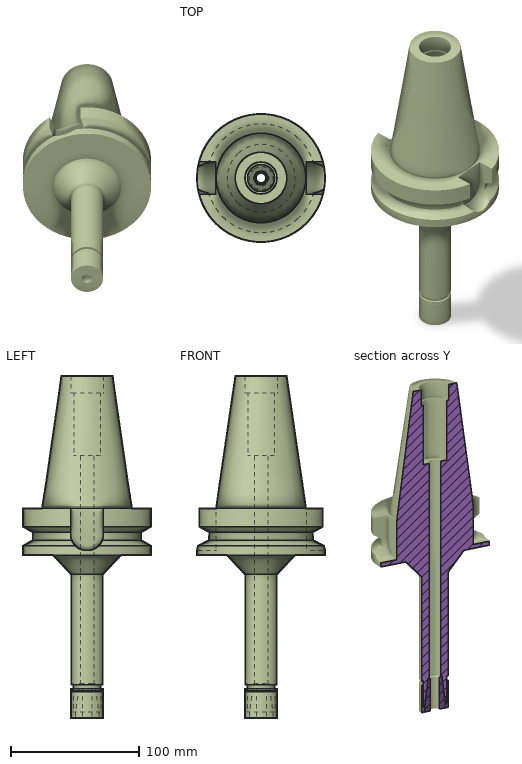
import cadquery as cq
import math


GAUGE_RADIUS = 69.85 / 2
TAPER_LENGTH = 101.8
TAPER_PER_LENGTH = 7 / 24
SHANK_END_RADIUS = GAUGE_RADIUS - TAPER_LENGTH * TAPER_PER_LENGTH / 2

FLANGE_RADIUS = 50.0
FLANGE_TOP = -1.5
FLANGE_BOTTOM = -38.0
V_CENTRE = -23.2
V_ROOT_RADIUS = 42.5
V_ROOT_WIDTH = 6.4
V_FLANK_ANGLE = 30.0
V_FLANK_RISE = (FLANGE_RADIUS - V_ROOT_RADIUS) * math.tan(math.radians(V_FLANK_ANGLE))

SLOT_WIDTH = 25.7
SLOT_FLAT_OFFSET = 35.4
SLOT_BOTTOM = -34.3
SLOT_OVERCUT = 1.0

STEM_RADIUS = 12.4
CONE_HEIGHT = 15.0
CONE_TOP_RADIUS = 26.5
STEM_BOTTOM = -139.0
NOSE_RADIUS = 10.8

PILOT_RADIUS = 12.5
PILOT_DEPTH = 13.0
THREAD_RADIUS = 10.5
THREAD_DEPTH = 62.0
PASSAGE_RADIUS = 5.2

NOSE_GAP = 3.2
NUT_TOP = STEM_BOTTOM - NOSE_GAP
NUT_BOTTOM = -165.0
NUT_LIP = 5.0
NOSE_BOTTOM = NUT_BOTTOM + NUT_LIP
NUT_RADIUS = 12.5
NUT_COLLAR_HEIGHT = 1.6
RING_GROOVE_WIDTH = 0.6
RING_GROOVE_DEPTH = 0.1

COLLET_LENGTH = 27.0
COLLET_TOP = NUT_BOTTOM + COLLET_LENGTH
COLLET_TOP_RADIUS = 6.0
COLLET_HALF_ANGLE = 8.0
COLLET_FRONT_RADIUS = COLLET_TOP_RADIUS + (COLLET_TOP - NOSE_BOTTOM) * math.tan(
    math.radians(COLLET_HALF_ANGLE)
)
COLLET_BORE_RADIUS = 3.9
COLLET_BORE_CHAMFER = 0.7


def revolve(outline):
    """Turn a closed (radius, z) outline around the Z axis."""
    return cq.Workplane("XZ").polyline(outline).close().revolve(360, (0, 0), (0, 1))


def drive_slot():
    """Round-bottomed slot on the +X side, open at the flange rim and top face."""
    half_width = SLOT_WIDTH / 2
    arc_centre = SLOT_BOTTOM + half_width
    return (
        cq.Workplane("YZ", origin=(SLOT_FLAT_OFFSET, 0, 0))
        .moveTo(-half_width, FLANGE_TOP)
        .lineTo(-half_width, arc_centre)
        .threePointArc((0, SLOT_BOTTOM), (half_width, arc_centre))
        .lineTo(half_width, FLANGE_TOP)
        .close()
        .extrude(FLANGE_RADIUS - SLOT_FLAT_OFFSET + SLOT_OVERCUT)
    )


def make_holder():
    """Shank, flange, stem and nose in one piece, hollow along the axis."""
    v_root_top = V_CENTRE + V_ROOT_WIDTH / 2
    v_root_bottom = V_CENTRE - V_ROOT_WIDTH / 2
    body = revolve([
        (PILOT_RADIUS, TAPER_LENGTH),
        (PILOT_RADIUS, TAPER_LENGTH - PILOT_DEPTH),
        (THREAD_RADIUS, TAPER_LENGTH - PILOT_DEPTH),
        (THREAD_RADIUS, TAPER_LENGTH - THREAD_DEPTH),
        (PASSAGE_RADIUS, TAPER_LENGTH - THREAD_DEPTH),
        (PASSAGE_RADIUS, COLLET_TOP),
        (COLLET_TOP_RADIUS, COLLET_TOP),
        (COLLET_FRONT_RADIUS, NOSE_BOTTOM),
        (NOSE_RADIUS, NOSE_BOTTOM),
        (NOSE_RADIUS, STEM_BOTTOM),
        (STEM_RADIUS, STEM_BOTTOM),
        (STEM_RADIUS, FLANGE_BOTTOM - CONE_HEIGHT),
        (CONE_TOP_RADIUS, FLANGE_BOTTOM),
        (FLANGE_RADIUS, FLANGE_BOTTOM),
        (FLANGE_RADIUS, v_root_bottom - V_FLANK_RISE),
        (V_ROOT_RADIUS, v_root_bottom),
        (V_ROOT_RADIUS, v_root_top),
        (FLANGE_RADIUS, v_root_top + V_FLANK_RISE),
        (FLANGE_RADIUS, FLANGE_TOP),
        (GAUGE_RADIUS, FLANGE_TOP),
        (GAUGE_RADIUS, 0),
        (SHANK_END_RADIUS, TAPER_LENGTH),
    ])
    for angle in (0, 180):
        body = body.cut(drive_slot().rotate((0, 0, 0), (0, 0, 1), angle))
    return body


def make_nut():
    """Nut around the nose, with a lip that surrounds the collet front."""
    groove_radius = NUT_RADIUS - RING_GROOVE_DEPTH
    groove_top = NUT_TOP - NUT_COLLAR_HEIGHT
    groove_bottom = groove_top - RING_GROOVE_WIDTH
    return revolve([
        (NOSE_RADIUS, NUT_TOP),
        (NUT_RADIUS, NUT_TOP),
        (NUT_RADIUS, groove_top),
        (groove_radius, groove_top),
        (groove_radius, groove_bottom),
        (NUT_RADIUS, groove_bottom),
        (NUT_RADIUS, NUT_BOTTOM),
        (COLLET_FRONT_RADIUS, NUT_BOTTOM),
        (COLLET_FRONT_RADIUS, NOSE_BOTTOM),
        (NOSE_RADIUS, NOSE_BOTTOM),
    ])


def make_collet():
    """Collet with a tapered back, a straight front and a through bore."""
    return revolve([
        (COLLET_BORE_RADIUS, COLLET_TOP - COLLET_BORE_CHAMFER),
        (COLLET_BORE_RADIUS + COLLET_BORE_CHAMFER, COLLET_TOP),
        (COLLET_TOP_RADIUS, COLLET_TOP),
        (COLLET_FRONT_RADIUS, NOSE_BOTTOM),
        (COLLET_FRONT_RADIUS, NUT_BOTTOM),
        (COLLET_BORE_RADIUS, NUT_BOTTOM),
    ])


holder = make_holder()
nut = make_nut()
collet = make_collet()

result = cq.Compound.makeCompound([holder.val(), nut.val(), collet.val()])